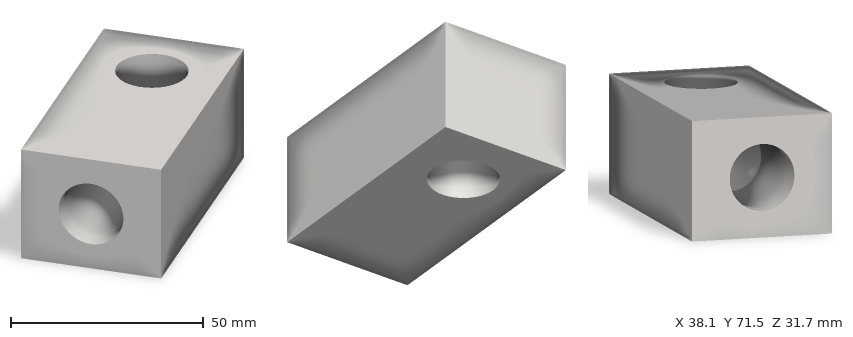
import cadquery as cq
import math

length = 71.45
width = 38.1
height = 31.7

cross_diameter = width / 2
cross_y = length - width / 2

bore_diameter = 17.6
bore_depth = 28.6
drill_point_angle = 118.0


def make_block():
    return cq.Workplane("XY").box(width, length, height, centered=(True, False, True))


def make_cross_hole():
    return cq.Workplane("XY").center(0, cross_y).circle(cross_diameter / 2).extrude(height, both=True)


def make_front_bore():
    radius = bore_diameter / 2
    point_length = radius / math.tan(math.radians(drill_point_angle / 2))
    half_profile = (
        cq.Workplane("XY")
        .lineTo(radius, 0)
        .lineTo(radius, bore_depth)
        .lineTo(0, bore_depth + point_length)
        .close()
    )
    return half_profile.revolve(360, (0, 0, 0), (0, 1, 0))


result = make_block().cut(make_cross_hole()).cut(make_front_bore())